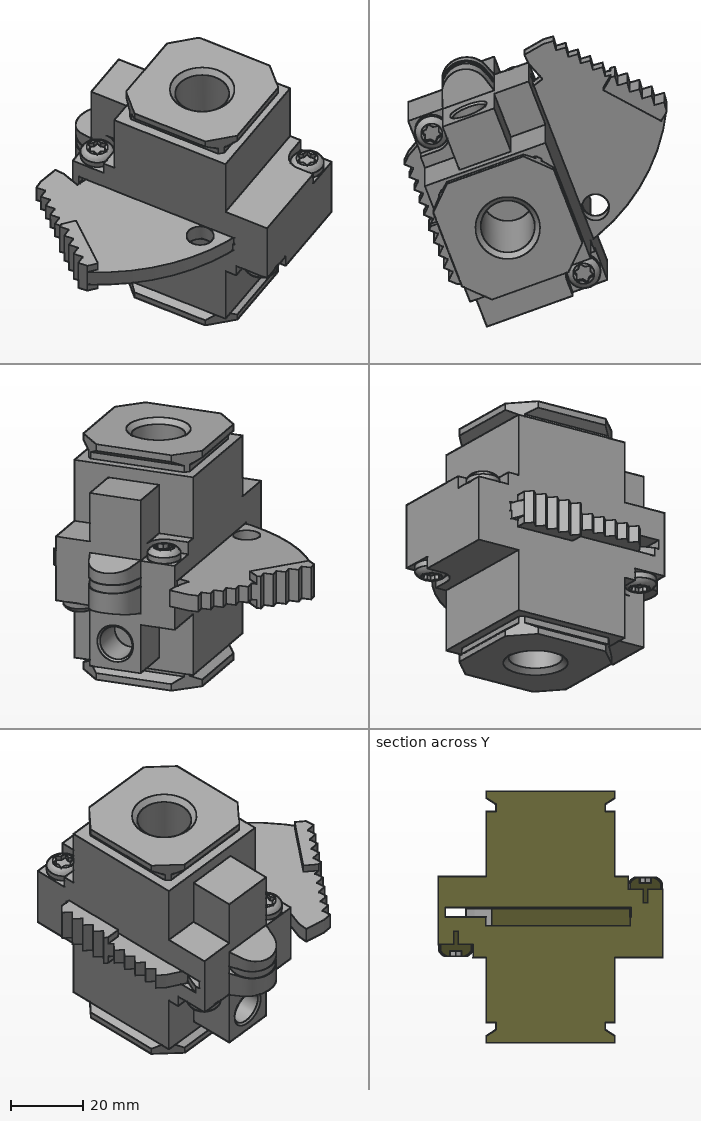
import cadquery as cq
import math


CORE_WIDTH = 35.6
CORE_HEIGHT = 58.5
HOUSING_HEIGHT = 69.6
WING_LENGTH = 62.2
WING_HEIGHT = 22.45
SIDE_BLOCK_WIDTH = 15.2
SIDE_BLOCK_HEIGHT = 51.1
WING_END = WING_LENGTH / 2

NECK_WIDTH = 30.3
NECK_HEIGHT = 1.9
FLARE_HEIGHT = 1.7
FLANGE_CORNER_CUT = 6.5

BORE_RADIUS = 7.45
BORE_CHAMFER = 1.5
SIDE_PORT_Z = -17.9
SIDE_PORT_RADIUS = 4.8
SIDE_PORT_CHAMFER = 0.6
SIDE_PORT_DEPTH = 11.1

NOSE_RADIUS = 6.7
NOSE_TIP_X = -39.4
PIVOT_X = NOSE_TIP_X + NOSE_RADIUS
NOSE_ROOT_HEIGHT = 15.8
NOSE_TIP_HEIGHT = 11.8

SCREW_X = 26.2
SCREW_Y = 12.6
RECESS_RADIUS = 5.0
RECESS_DEPTH = 3.55
RECESS_FLOOR = WING_HEIGHT / 2 - RECESS_DEPTH
HEAD_RADIUS = 4.65
HEAD_RIM_HEIGHT = 1.7
HEAD_TOP_RADIUS = 2.95
HEAD_HEIGHT = 3.25
HEAD_BULGE = 0.15
SHANK_RADIUS = 1.85
SHANK_LENGTH = 3.7
STAR_POINTS = 6
STAR_TIP_RADIUS = 2.95
STAR_ROOT_RADIUS = 2.0
STAR_DEPTH = 1.5

ROTOR_HALF_THICKNESS = 2.35
RACK_SWING = 40.5
HUB_RADIUS = 6.5
HUB_STEP_RADIUS = 18.45
TOOTH_COUNT = 10
TOOTH_DEPTH = 2.0
TOOTH_TIP_V = 23.7
FIRST_TIP_U = 14.4
LAST_TIP_U = 49.4
TOOTH_PITCH = (LAST_TIP_U - FIRST_TIP_U) / (TOOTH_COUNT - 1)
TOOTH_ROOT_V = TOOTH_TIP_V - TOOTH_DEPTH
RACK_START_U = FIRST_TIP_U - TOOTH_PITCH / 2
RACK_END_U = LAST_TIP_U + TOOTH_PITCH / 2
ROTOR_RADIUS = math.hypot(RACK_END_U, TOOTH_ROOT_V)
NOTCH_POINTS = [(12.2, 0.75), (15.9, 9.75), (17.05, 12.6), (11.7, 14.6), (9.3, 16.3)]
GRIP_START_U = 33.0
GRIP_INNER_V = 18.6
GRIP_HALF_HEIGHT = 4.7
LOCK_HOLE_X = 11.8
LOCK_HOLE_Y = -21.5
LOCK_HOLE_RADIUS = 3.8

SLOT_TOP = 2.6
RIM_CLEARANCE = 0.4
SLOT_RADIUS = ROTOR_RADIUS + RIM_CLEARANCE
SLOT_LEFT_X = -29.1


def box(x_min, x_max, width, z_min, z_max):
    """Box between two X and two Z positions, centred on Y = 0."""
    block = cq.Workplane("XY").box(x_max - x_min, width, z_max - z_min, centered=(False, True, False))
    return block.translate((x_min, 0, z_min))


def disc(radius, z_min, z_max):
    """Disc around the pivot axis."""
    return cq.Workplane("XY", origin=(PIVOT_X, 0, z_min)).circle(radius).extrude(z_max - z_min)


def on_circle(radius, angle):
    """Point on a circle around the origin, for an angle in radians."""
    return (radius * math.cos(angle), radius * math.sin(angle))


def tangent_angle(point, radius):
    """Angle at which the counter-clockwise tangent from a point touches a circle around the origin."""
    u, v = point
    return math.atan2(v, u) + math.acos(radius / math.hypot(u, v))


def make_top_flange():
    base = CORE_HEIGHT / 2
    flare_start = base + NECK_HEIGHT
    plate_start = flare_start + FLARE_HEIGHT
    neck = box(-NECK_WIDTH / 2, NECK_WIDTH / 2, NECK_WIDTH, base, flare_start)
    flare = (
        cq.Workplane("XY", origin=(0, 0, flare_start))
        .rect(NECK_WIDTH, NECK_WIDTH)
        .workplane(offset=FLARE_HEIGHT)
        .rect(CORE_WIDTH, CORE_WIDTH)
        .loft()
    )
    plate = box(-CORE_WIDTH / 2, CORE_WIDTH / 2, CORE_WIDTH, plate_start, HOUSING_HEIGHT / 2)
    corner_cut_width = (2 * CORE_WIDTH - 2 * FLANGE_CORNER_CUT) / math.sqrt(2)
    corner_limit = (
        cq.Workplane("XY", origin=(0, 0, base))
        .transformed(rotate=(0, 0, 45))
        .rect(corner_cut_width, corner_cut_width)
        .extrude(HOUSING_HEIGHT / 2 - base)
    )
    return neck.union(flare).union(plate).intersect(corner_limit)


def make_nose():
    """Rounded nose with flat tangent sides, whose top and bottom slope towards the tip."""
    root = (-WING_END - PIVOT_X, SIDE_BLOCK_WIDTH / 2)
    touch_x, touch_y = on_circle(NOSE_RADIUS, tangent_angle(root, NOSE_RADIUS))
    plan = (
        cq.Workplane("XY", origin=(PIVOT_X, 0, -NOSE_ROOT_HEIGHT / 2))
        .moveTo(*root)
        .lineTo(touch_x, touch_y)
        .threePointArc((-NOSE_RADIUS, 0), (touch_x, -touch_y))
        .lineTo(root[0], -root[1])
        .close()
        .extrude(NOSE_ROOT_HEIGHT)
    )
    side = (
        cq.Workplane("XZ", origin=(0, SIDE_BLOCK_WIDTH / 2, 0))
        .polyline(
            [
                (-WING_END, NOSE_ROOT_HEIGHT / 2),
                (NOSE_TIP_X, NOSE_TIP_HEIGHT / 2),
                (NOSE_TIP_X, -NOSE_TIP_HEIGHT / 2),
                (-WING_END, -NOSE_ROOT_HEIGHT / 2),
            ]
        )
        .close()
        .extrude(SIDE_BLOCK_WIDTH)
    )
    return plan.intersect(side)


def make_main_bore():
    """Through bore with a chamfered mouth at each end."""
    half = HOUSING_HEIGHT / 2
    mouth = BORE_RADIUS + BORE_CHAMFER
    return (
        cq.Workplane("XZ")
        .polyline(
            [
                (0, -half),
                (mouth, -half),
                (BORE_RADIUS, BORE_CHAMFER - half),
                (BORE_RADIUS, half - BORE_CHAMFER),
                (mouth, half),
                (0, half),
            ]
        )
        .close()
        .revolve(360, (0, 0, 0), (0, 1, 0))
    )


def make_side_port():
    """Blind round port into the side block, with a chamfered mouth."""
    mouth = SIDE_PORT_RADIUS + SIDE_PORT_CHAMFER
    return (
        cq.Workplane("XY")
        .polyline(
            [
                (0, 0),
                (0, mouth),
                (SIDE_PORT_CHAMFER, SIDE_PORT_RADIUS),
                (SIDE_PORT_DEPTH, SIDE_PORT_RADIUS),
                (SIDE_PORT_DEPTH, 0),
            ]
        )
        .close()
        .revolve(360, (0, 0, 0), (1, 0, 0))
        .translate((-WING_END, 0, SIDE_PORT_Z))
    )


def make_rotor_slot():
    """Upper layer reaching into the nose, and a lower layer outside the half-thickness hub."""
    window = box(SLOT_LEFT_X, WING_END, CORE_WIDTH, -ROTOR_HALF_THICKNESS, SLOT_TOP)
    upper = disc(SLOT_RADIUS, 0, SLOT_TOP)
    lower = disc(ROTOR_RADIUS, -ROTOR_HALF_THICKNESS, 0).cut(disc(HUB_STEP_RADIUS, -ROTOR_HALF_THICKNESS, 0))
    nose_slot = box(NOSE_TIP_X, SLOT_LEFT_X, SIDE_BLOCK_WIDTH, 0, SLOT_TOP)
    return upper.union(lower).intersect(window).union(nose_slot)


def make_screw_pocket():
    """Corner recess and shank hole at the +X, +Y corner, open upwards."""
    inner_x = SCREW_X - RECESS_RADIUS
    inner_y = SCREW_Y - RECESS_RADIUS
    recess = (
        cq.Workplane("XY", origin=(0, 0, RECESS_FLOOR))
        .moveTo(WING_END, CORE_WIDTH / 2)
        .lineTo(inner_x, CORE_WIDTH / 2)
        .lineTo(inner_x, SCREW_Y)
        .radiusArc((SCREW_X, inner_y), -RECESS_RADIUS)
        .lineTo(WING_END, inner_y)
        .close()
        .extrude(RECESS_DEPTH)
    )
    shank_hole = (
        cq.Workplane("XY", origin=(SCREW_X, SCREW_Y, RECESS_FLOOR)).circle(SHANK_RADIUS).extrude(-SHANK_LENGTH)
    )
    return recess.union(shank_hole)


def at_four_corners(shape):
    """Copies of a +X, +Y shape: two facing up on one diagonal, two facing down on the other."""
    copies = []
    for turned_over in (False, True):
        for half_turn in (0, 180):
            copy = shape.rotate((0, 0, 0), (1, 0, 0), 180) if turned_over else shape
            copies.append(copy.rotate((0, 0, 0), (0, 0, 1), half_turn))
    return copies


def make_housing():
    core = box(-CORE_WIDTH / 2, CORE_WIDTH / 2, CORE_WIDTH, -CORE_HEIGHT / 2, CORE_HEIGHT / 2)
    wings = box(-WING_END, WING_END, CORE_WIDTH, -WING_HEIGHT / 2, WING_HEIGHT / 2)
    side_block = box(-WING_END, 0, SIDE_BLOCK_WIDTH, -SIDE_BLOCK_HEIGHT / 2, SIDE_BLOCK_HEIGHT / 2)
    top_flange = make_top_flange()
    body = core.union(wings).union(side_block).union(make_nose())
    body = body.union(top_flange).union(top_flange.mirror("XY"))
    body = body.cut(make_main_bore()).cut(make_side_port()).cut(make_rotor_slot())
    for pocket in at_four_corners(make_screw_pocket()):
        body = body.cut(pocket)
    return body


def make_screw():
    """Domed screw with a star drive, in the +X, +Y pocket."""
    dome_middle = (
        (HEAD_RADIUS + HEAD_TOP_RADIUS) / 2 + HEAD_BULGE,
        (HEAD_RIM_HEIGHT + HEAD_HEIGHT) / 2 + HEAD_BULGE,
    )
    screw = (
        cq.Workplane("XZ")
        .moveTo(0, -SHANK_LENGTH)
        .lineTo(SHANK_RADIUS, -SHANK_LENGTH)
        .lineTo(SHANK_RADIUS, 0)
        .lineTo(HEAD_RADIUS, 0)
        .lineTo(HEAD_RADIUS, HEAD_RIM_HEIGHT)
        .threePointArc(dome_middle, (HEAD_TOP_RADIUS, HEAD_HEIGHT))
        .lineTo(0, HEAD_HEIGHT)
        .close()
        .revolve(360, (0, 0, 0), (0, 1, 0))
    )
    star_outline = []
    for i in range(STAR_POINTS):
        angle = 2 * math.pi * i / STAR_POINTS
        star_outline.append(on_circle(STAR_TIP_RADIUS, angle))
        star_outline.append(on_circle(STAR_ROOT_RADIUS, angle + math.pi / STAR_POINTS))
    star = cq.Workplane("XY", origin=(0, 0, HEAD_HEIGHT)).polyline(star_outline).close().extrude(-STAR_DEPTH)
    return screw.cut(star).translate((SCREW_X, SCREW_Y, RECESS_FLOOR))


def tooth_points(first_tooth):
    """Zigzag of tips, each followed by a root, from a given tooth to the end of the rack."""
    points = []
    for i in range(first_tooth, TOOTH_COUNT):
        tip_u = FIRST_TIP_U + i * TOOTH_PITCH
        points.append((tip_u, TOOTH_TIP_V))
        points.append((tip_u + TOOTH_PITCH / 2, TOOTH_ROOT_V))
    return points


def to_second_rack(point):
    """Mirror image of a point of the first rack, about the symmetry line of the rotor."""
    u, v = point
    return on_circle(math.hypot(u, v), -math.radians(RACK_SWING) - math.atan2(v, u))


def make_rotor_plate():
    hub_touch = on_circle(HUB_RADIUS, tangent_angle(NOTCH_POINTS[0], HUB_RADIUS))
    half_outline = [hub_touch] + NOTCH_POINTS + [(RACK_START_U, TOOTH_ROOT_V)] + tooth_points(0)
    other_half = [to_second_rack(point) for point in reversed(half_outline)]
    middle_angle = -math.radians(RACK_SWING) / 2
    return (
        cq.Workplane("XY", origin=(PIVOT_X, 0, -ROTOR_HALF_THICKNESS))
        .polyline(half_outline)
        .threePointArc(on_circle(math.hypot(*half_outline[-1]), middle_angle), other_half[0])
        .polyline(other_half[1:], includeCurrent=True)
        .threePointArc(on_circle(-HUB_RADIUS, middle_angle), hub_touch)
        .close()
        .extrude(2 * ROTOR_HALF_THICKNESS)
    )


def make_grip(place):
    """Thicker stretch of a rack; `place` moves its points onto the wanted rack."""
    first_tooth = math.ceil((GRIP_START_U - FIRST_TIP_U) / TOOTH_PITCH)
    to_first_tip = FIRST_TIP_U + first_tooth * TOOTH_PITCH - GRIP_START_U
    start_v = TOOTH_TIP_V - to_first_tip * TOOTH_DEPTH / (TOOTH_PITCH / 2)
    outline = [(GRIP_START_U, GRIP_INNER_V), (GRIP_START_U, start_v)]
    outline += tooth_points(first_tooth) + [(RACK_END_U, GRIP_INNER_V)]
    return (
        cq.Workplane("XY", origin=(PIVOT_X, 0, -GRIP_HALF_HEIGHT))
        .polyline([place(point) for point in outline])
        .close()
        .extrude(2 * GRIP_HALF_HEIGHT)
    )


def make_rotor():
    rotor = make_rotor_plate().cut(disc(HUB_STEP_RADIUS, -ROTOR_HALF_THICKNESS, 0))
    rotor = rotor.union(make_grip(lambda point: point)).union(make_grip(to_second_rack))
    lock_hole = (
        cq.Workplane("XY", origin=(LOCK_HOLE_X, LOCK_HOLE_Y, -ROTOR_HALF_THICKNESS))
        .circle(LOCK_HOLE_RADIUS)
        .extrude(2 * ROTOR_HALF_THICKNESS)
    )
    return rotor.cut(lock_hole)


housing = make_housing()
rotor = make_rotor()
screws = [screw.val() for screw in at_four_corners(make_screw())]

result = cq.Compound.makeCompound([housing.val(), rotor.val(), *screws])